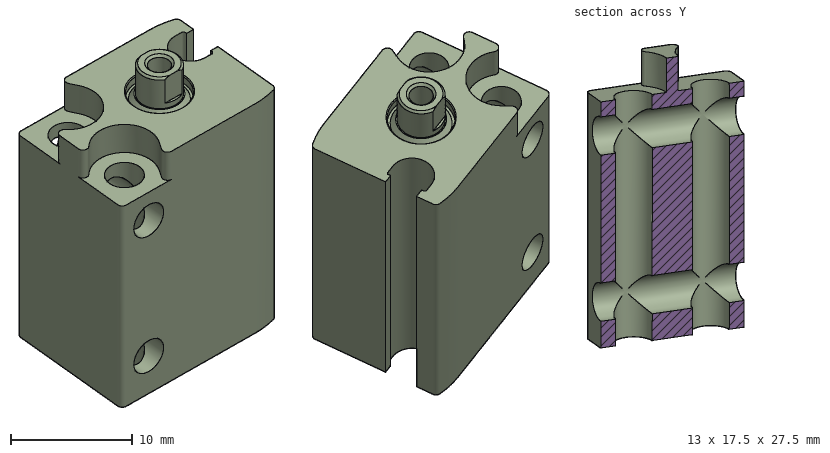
import cadquery as cq
import math


width = 13.0
front_y = -10.0
back_y = 7.48
total_height = 27.5
rod_protrusion = 3.0
housing_height = total_height - rod_protrusion
side_x = width / 2
corner_radius = 0.5

bulge_start_y = 4.78
bulge_radius = 8.25

mount_hole_diameter = 3.3
mount_x = 3.5
mount_y = -7.0
ledge_depth = 3.0
ledge_radius = 2.95
side_flank_angle = 120.0
front_flank_angle = -45.0
cross_hole_upper_z = housing_height - 6.0
cross_hole_spacing = 14.5

slot_x = -2.6
slot_neck_width = 3.0
slot_neck_depth = 0.8
slot_diameter = 3.75
slot_depth = 3.6
slot_shoulder_radius = 0.2

rod_diameter = 4.0
rod_insertion = 6.0
rod_chamfer = 0.2
flat_width = 3.5
flat_start = 0.3
bore_diameter = 2.0
bore_mouth_diameter = 2.45
bore_depth = 4.0
drill_half_angle = 59.0

recess_diameter = 5.6
recess_mouth_diameter = 5.8
recess_depth = 0.8
lip_base_diameter = 5.12
lip_top_diameter = 4.2
lip_top_depth = 0.25


def make_block():
    bulge_rise = back_y - bulge_start_y
    bulge_angle = math.asin(bulge_rise / bulge_radius)
    back_x = side_x - bulge_radius * (1 - math.cos(bulge_angle))
    mid_x = side_x - bulge_radius * (1 - math.cos(bulge_angle / 2))
    mid_y = bulge_start_y + bulge_radius * math.sin(bulge_angle / 2)
    return (
        cq.Workplane("XY")
        .moveTo(-side_x, front_y)
        .lineTo(side_x, front_y)
        .lineTo(side_x, bulge_start_y)
        .threePointArc((mid_x, mid_y), (back_x, back_y))
        .lineTo(-back_x, back_y)
        .threePointArc((-mid_x, mid_y), (-side_x, bulge_start_y))
        .close()
        .extrude(housing_height)
        .edges("|Z and (<Y or >Y)")
        .fillet(corner_radius)
    )


def make_sensor_slot():
    slot_radius = slot_diameter / 2
    neck_half = slot_neck_width / 2
    shoulder_y = back_y - slot_neck_depth
    bottom_y = back_y - slot_depth
    center_y = bottom_y + slot_radius
    chamber = (
        cq.Workplane("XY")
        .moveTo(slot_x - slot_radius, shoulder_y)
        .lineTo(slot_x - slot_radius, center_y)
        .threePointArc((slot_x, bottom_y), (slot_x + slot_radius, center_y))
        .lineTo(slot_x + slot_radius, shoulder_y)
        .close()
        .extrude(housing_height)
        .edges("|Z and >Y")
        .fillet(slot_shoulder_radius)
    )
    neck = (
        cq.Workplane("XY")
        .moveTo(slot_x - neck_half, center_y)
        .lineTo(slot_x + neck_half, center_y)
        .lineTo(slot_x + neck_half, back_y)
        .lineTo(slot_x - neck_half, back_y)
        .close()
        .extrude(housing_height)
    )
    return chamber.union(neck)


def flank_points():
    """Where the left ledge's straight flanks leave its arc and meet the walls."""
    side_angle = math.radians(side_flank_angle)
    front_angle = math.radians(front_flank_angle)
    side_tangent = (
        -mount_x + ledge_radius * math.cos(side_angle),
        mount_y + ledge_radius * math.sin(side_angle),
    )
    front_tangent = (
        -mount_x + ledge_radius * math.cos(front_angle),
        mount_y + ledge_radius * math.sin(front_angle),
    )
    side_wall = (
        -side_x,
        side_tangent[1] + (side_x + side_tangent[0]) / math.tan(side_angle),
    )
    front_wall = (
        front_tangent[0] + (front_tangent[1] - front_y) * math.tan(front_angle),
        front_y,
    )
    return side_tangent, side_wall, front_wall, front_tangent


def cut_corner_ledges(housing):
    side_tangent, side_wall, front_wall, front_tangent = flank_points()
    ledge_z = housing_height - ledge_depth
    arc_pocket = (
        cq.Workplane("XY", origin=(-mount_x, mount_y, ledge_z))
        .circle(ledge_radius)
        .extrude(ledge_depth)
    )
    corner_pocket = (
        cq.Workplane("XY", origin=(0, 0, ledge_z))
        .polyline([
            (-mount_x, mount_y), side_tangent, side_wall,
            (-side_x, front_y), front_wall, front_tangent,
        ])
        .close()
        .extrude(ledge_depth)
    )
    pocket = arc_pocket.union(corner_pocket)
    housing = housing.cut(pocket).cut(pocket.mirror("YZ"))

    upright_z = housing_height - ledge_depth / 2
    for wall_x, wall_y in (side_wall, front_wall):
        for side in (-1, 1):
            edge_point = (-side * wall_x, wall_y, upright_z)
            edge = cq.selectors.NearestToPointSelector(edge_point)
            housing = housing.edges("|Z").edges(edge).fillet(corner_radius)
    return housing


def cut_mounting_holes(housing):
    upright_holes = (
        cq.Workplane("XY")
        .pushPoints([(-mount_x, mount_y), (mount_x, mount_y)])
        .circle(mount_hole_diameter / 2)
        .extrude(housing_height)
    )
    cross_hole_lower_z = cross_hole_upper_z - cross_hole_spacing
    cross_holes = (
        cq.Workplane("YZ", origin=(-side_x, 0, 0))
        .pushPoints([(mount_y, cross_hole_lower_z), (mount_y, cross_hole_upper_z)])
        .circle(mount_hole_diameter / 2)
        .extrude(width)
    )
    return housing.cut(upright_holes).cut(cross_holes)


def make_rod_opening():
    recess_floor_z = housing_height - recess_depth
    recess_radius = recess_diameter / 2
    mouth_radius = recess_mouth_diameter / 2
    return (
        cq.Workplane("XZ")
        .moveTo(0, housing_height - rod_insertion)
        .lineTo(rod_diameter / 2, housing_height - rod_insertion)
        .lineTo(rod_diameter / 2, housing_height - lip_top_depth)
        .lineTo(lip_top_diameter / 2, housing_height - lip_top_depth)
        .lineTo(lip_base_diameter / 2, recess_floor_z)
        .lineTo(recess_radius, recess_floor_z)
        .lineTo(recess_radius, housing_height - (mouth_radius - recess_radius))
        .lineTo(mouth_radius, housing_height)
        .lineTo(0, housing_height)
        .close()
        .revolve(360, (0, 0), (0, 1))
    )


def make_housing():
    housing = make_block().cut(make_sensor_slot())
    housing = cut_corner_ledges(housing)
    housing = cut_mounting_holes(housing)
    return housing.cut(make_rod_opening())


def make_rod_bore():
    bore_radius = bore_diameter / 2
    mouth_radius = bore_mouth_diameter / 2
    bore_floor_z = total_height - bore_depth
    cone_depth = bore_radius / math.tan(math.radians(drill_half_angle))
    return (
        cq.Workplane("XZ")
        .moveTo(0, bore_floor_z - cone_depth)
        .lineTo(bore_radius, bore_floor_z)
        .lineTo(bore_radius, total_height - (mouth_radius - bore_radius))
        .lineTo(mouth_radius, total_height)
        .lineTo(0, total_height)
        .close()
        .revolve(360, (0, 0), (0, 1))
    )


def make_rod():
    flat_z = housing_height + flat_start
    rod = (
        cq.Workplane("XY", origin=(0, 0, housing_height - rod_insertion))
        .circle(rod_diameter / 2)
        .extrude(rod_insertion + rod_protrusion)
        .faces(">Z")
        .chamfer(rod_chamfer)
    )
    flat_cutter = (
        cq.Workplane("XY", origin=(0, 0, flat_z))
        .rect(2 * rod_diameter, 2 * rod_diameter)
        .rect(flat_width, 2 * rod_diameter)
        .extrude(total_height - flat_z)
    )
    return rod.cut(flat_cutter).cut(make_rod_bore())


housing = make_housing()
rod = make_rod()
result = cq.Compound.makeCompound([*housing.solids().vals(), *rod.solids().vals()])